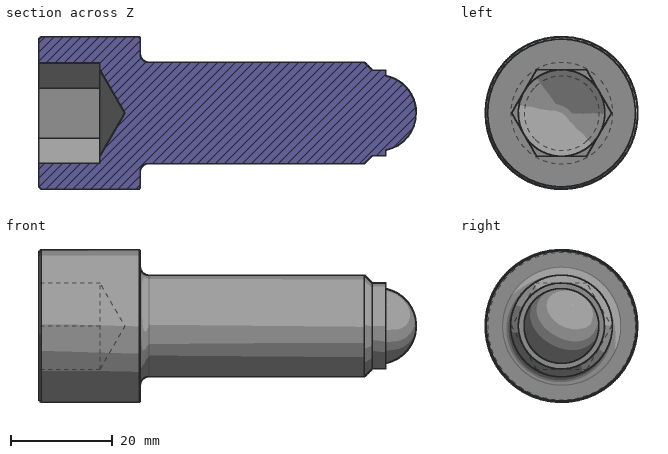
import cadquery as cq
import math

HEAD_DIAMETER = 30.0
HEAD_LENGTH = 20.0
HEAD_FACE_CHAMFER = 0.5
HEAD_REAR_CHAMFER = 0.25

SHANK_DIAMETER = 20.0
SHANK_CHAMFER_START = 64.0
NECK_FILLET_RADIUS = 1.6

PIN_DIAMETER = 16.9
PIN_END = 68.2

BALL_DIAMETER = 15.0
OVERALL_LENGTH = 74.2

HEX_ACROSS_FLATS = 17.0
HEX_SIDES = 6
HEX_DEPTH = 12.0
DRILL_POINT_ANGLE = 120.0

head_radius = HEAD_DIAMETER / 2
shank_radius = SHANK_DIAMETER / 2
pin_radius = PIN_DIAMETER / 2
ball_radius = BALL_DIAMETER / 2
ball_center = OVERALL_LENGTH - ball_radius
ball_seat_radius = math.sqrt(ball_radius**2 - (PIN_END - ball_center) ** 2)

shank_end = SHANK_CHAMFER_START + shank_radius - pin_radius


def make_body():
    """Revolve the half outline of head, shank, pin and ball about the X axis."""
    neck_mid = NECK_FILLET_RADIUS * (1 - math.sqrt(0.5))
    ball_mid = math.sqrt(0.5) * ball_radius
    outline = (
        cq.Workplane("XY")
        .moveTo(0, 0)
        .lineTo(0, head_radius - HEAD_FACE_CHAMFER)
        .lineTo(HEAD_FACE_CHAMFER, head_radius)
        .lineTo(HEAD_LENGTH - HEAD_REAR_CHAMFER, head_radius)
        .lineTo(HEAD_LENGTH, head_radius - HEAD_REAR_CHAMFER)
        .lineTo(HEAD_LENGTH, shank_radius + NECK_FILLET_RADIUS)
        .threePointArc(
            (HEAD_LENGTH + neck_mid, shank_radius + neck_mid),
            (HEAD_LENGTH + NECK_FILLET_RADIUS, shank_radius),
        )
        .lineTo(SHANK_CHAMFER_START, shank_radius)
        .lineTo(shank_end, pin_radius)
        .lineTo(PIN_END, pin_radius)
        .lineTo(PIN_END, ball_seat_radius)
        .threePointArc((ball_center + ball_mid, ball_mid), (OVERALL_LENGTH, 0))
        .close()
    )
    return outline.revolve(360, (0, 0, 0), (1, 0, 0))


def make_hex_socket():
    """Hexagonal prism with two flats facing +Z and -Z, entering at the head face."""
    across_corners = HEX_ACROSS_FLATS / math.cos(math.pi / HEX_SIDES)
    return cq.Workplane("YZ").polygon(HEX_SIDES, across_corners).extrude(HEX_DEPTH)


def make_drill_point():
    """Cone that ends the socket, as wide as the hexagon across its flats."""
    base_radius = HEX_ACROSS_FLATS / 2
    cone_depth = base_radius / math.tan(math.radians(DRILL_POINT_ANGLE / 2))
    profile = (
        cq.Workplane("XY")
        .moveTo(HEX_DEPTH, 0)
        .lineTo(HEX_DEPTH, base_radius)
        .lineTo(HEX_DEPTH + cone_depth, 0)
        .close()
    )
    return profile.revolve(360, (0, 0, 0), (1, 0, 0))


result = make_body().cut(make_hex_socket()).cut(make_drill_point())